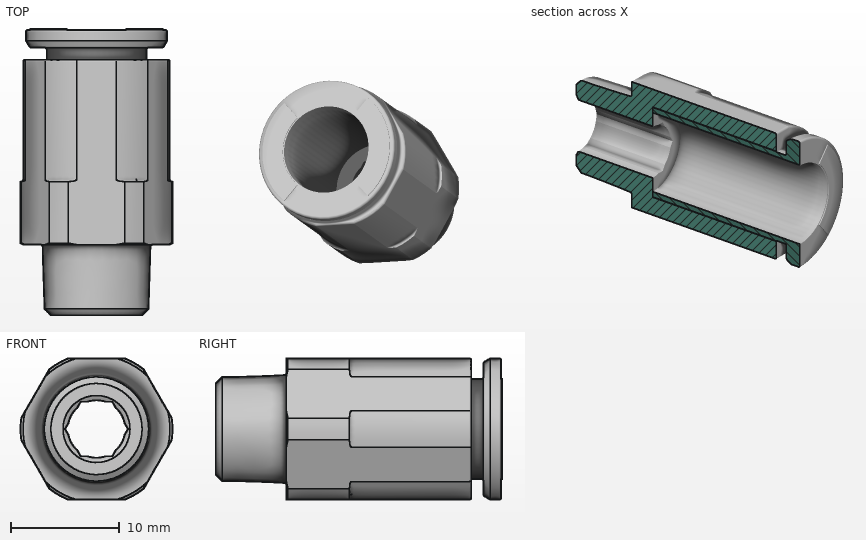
import cadquery as cq
import math


hex_start = 6.5
ledge = 12.3
body_end = 23.5
button_gap = 1.1
flange_thickness = 1.65
flange_start = body_end + button_gap
flange_end = flange_start + flange_thickness
total_length = 26.35
tube_seat = 9.0

across_flats = 13.0
wide_radius = 7.0
slim_radius = 6.75
ledge_fillet = 0.2
body_end_fillet = 0.2
corner_bevel = 0.25
corner_bevel_angle = 30.0
thread_root_radius = 4.97
thread_taper = 1 / 32
thread_root_fillet = 0.2
thread_end_chamfer = 0.6

key_flats = 5.0
passage_radius = 2.63
entry_radius = 3.08
entry_cone_angle = 60.0

sleeve_radius = 4.6
tube_bore_radius = 4.05
flange_radius = 6.5
flange_top_fillet = 0.2
flange_bevel_height = 0.65
flange_bevel_angle = 30.0
flange_bevel_fillet = 0.3
neck_fillet = 0.15
mark_inner_radius = 4.15
mark_outer_radius = 6.1
mark_half_angle = 49.0


def tan_deg(angle):
    return math.tan(math.radians(angle))


def along_y(start):
    """Sketch plane across the axis at Y = start, extruding toward +Y."""
    return cq.Workplane(cq.Plane(origin=(0, start, 0), xDir=(1, 0, 0), normal=(0, 1, 0)))


def cylinder(radius, start, end):
    return along_y(start).circle(radius).extrude(end - start)


def hexagon(flats, start, end):
    """Hexagonal bar with two flats facing up and down."""
    corner_diameter = flats / math.cos(math.radians(30))
    return along_y(start).polygon(6, corner_diameter).extrude(end - start)


def turned(profile):
    """Solid of revolution about Y from a closed profile of radius and Y."""
    return profile.close().revolve(360, (0, 0, 0), (0, 1, 0))


def hex_housing():
    """Hexagon with rounded corners, slimmer above the ledge."""
    bevel_height = corner_bevel * tan_deg(corner_bevel_angle)
    fillet_radius_end = slim_radius + ledge_fillet
    envelope = turned(
        cq.Workplane("XY")
        .moveTo(0, hex_start)
        .lineTo(wide_radius - corner_bevel, hex_start)
        .lineTo(wide_radius, hex_start + bevel_height)
        .lineTo(wide_radius, ledge)
        .lineTo(fillet_radius_end, ledge)
        .radiusArc((slim_radius, ledge + ledge_fillet), ledge_fillet)
        .lineTo(slim_radius, body_end)
        .lineTo(0, body_end)
    )
    housing = hexagon(across_flats, hex_start, body_end).intersect(envelope)
    return housing.faces(">Y").edges().fillet(body_end_fillet)


def thread_stub():
    """Tapered thread without its turns, flaring into the seat face."""
    root = hex_start - thread_root_fillet
    end_radius = thread_root_radius - thread_taper * (root - thread_end_chamfer)
    return turned(
        cq.Workplane("XY")
        .lineTo(end_radius - thread_end_chamfer, 0)
        .lineTo(end_radius, thread_end_chamfer)
        .lineTo(thread_root_radius, root)
        .radiusArc((thread_root_radius + thread_root_fillet, hex_start), thread_root_fillet)
        .lineTo(0, hex_start)
    )


def key_socket():
    """Hexagon and round bore running together from the thread end, with a conical entry."""
    entry_depth = entry_radius / tan_deg(entry_cone_angle)
    entry_cone = turned(
        cq.Workplane("XY")
        .lineTo(entry_radius, 0)
        .lineTo(0, entry_depth)
    )
    hexagon_hole = hexagon(key_flats, 0, tube_seat)
    return hexagon_hole.union(cylinder(passage_radius, 0, tube_seat)).union(entry_cone)


def make_body():
    sleeve_bore = cylinder(sleeve_radius, tube_seat, body_end)
    return hex_housing().union(thread_stub()).cut(key_socket()).cut(sleeve_bore)


def raised_mark():
    """Ring sector standing on the button face, centred on +X."""
    wedge_reach = flange_radius
    wedge_half_width = wedge_reach * tan_deg(mark_half_angle)
    mark_height = total_length - flange_end
    ring = (
        along_y(flange_end)
        .circle(mark_outer_radius)
        .circle(mark_inner_radius)
        .extrude(mark_height)
    )
    wedge = (
        along_y(flange_end)
        .polyline([(0, 0), (wedge_reach, wedge_half_width), (wedge_reach, -wedge_half_width)])
        .close()
        .extrude(mark_height)
    )
    return ring.intersect(wedge)


def make_release_button():
    """Flanged sleeve that slides in the body, bored for the tube."""
    bevel_width = flange_bevel_height * tan_deg(flange_bevel_angle)
    flange = turned(
        cq.Workplane("XY")
        .moveTo(0, flange_start)
        .lineTo(flange_radius - bevel_width, flange_start)
        .lineTo(flange_radius, flange_start + flange_bevel_height)
        .lineTo(flange_radius, flange_end)
        .lineTo(0, flange_end)
    )
    flange = flange.faces("<Y").edges().fillet(flange_bevel_fillet)
    flange = flange.faces(">Y").edges().fillet(flange_top_fillet)
    sleeve = turned(
        cq.Workplane("XY")
        .moveTo(0, tube_seat)
        .lineTo(sleeve_radius, tube_seat)
        .lineTo(sleeve_radius, flange_start - neck_fillet)
        .radiusArc((sleeve_radius + neck_fillet, flange_start), neck_fillet)
        .lineTo(0, flange_start)
    )
    button = flange.union(sleeve).cut(cylinder(tube_bore_radius, tube_seat, flange_end))
    for turn in (0, 180):
        button = button.union(raised_mark().rotate((0, 0, 0), (0, 1, 0), turn))
    return button


body = make_body()
release_button = make_release_button()

result = cq.Compound.makeCompound([body.solids().val(), release_button.solids().val()])